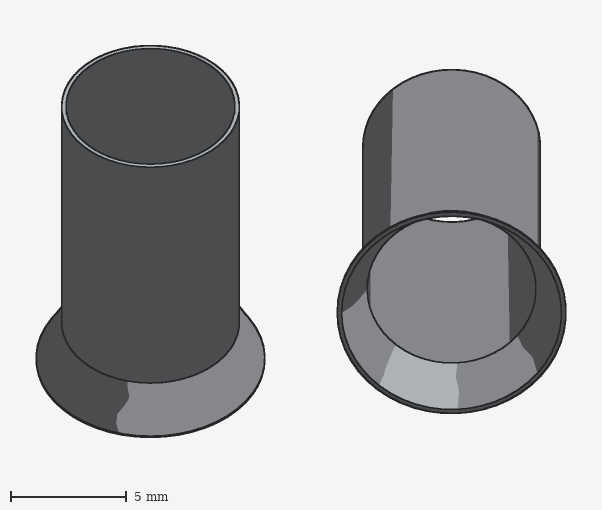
import cadquery as cq

total_height = 15.0
tube_diameter = 7.7
wall = 0.2
flare_diameter = 9.9
flare_height = 2.19
lip_height = 0.08

tube_radius = tube_diameter / 2
flare_radius = flare_diameter / 2
bore_radius = tube_radius - wall
mouth_radius = flare_radius - wall

section = (
    cq.Workplane("XZ")
    .moveTo(mouth_radius, 0)
    .lineTo(flare_radius, 0)
    .lineTo(flare_radius, lip_height)
    .lineTo(tube_radius, flare_height)
    .lineTo(tube_radius, total_height)
    .lineTo(bore_radius, total_height)
    .lineTo(bore_radius, flare_height)
    .close()
)

result = section.revolve(360, (0, 0, 0), (0, 1, 0))